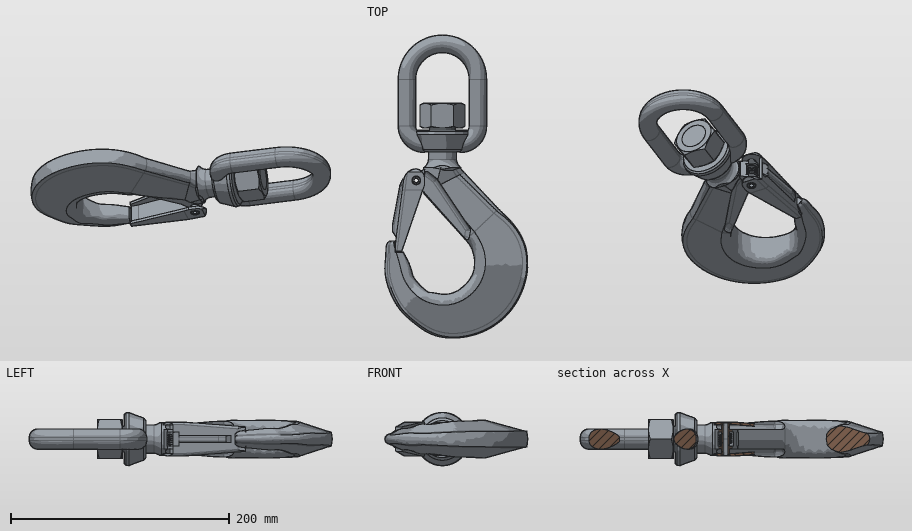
import cadquery as cq
import math


THROAT_RADIUS = 29.5
ARM_ANGLE = 43.5
ARM_OUTER_REACH = 71.0
SHOULDER_CENTRE = (26.7, 0.0)
SHOULDER_RADIUS = 51.7
BACK_CENTRE = (9.35, -0.8)
BACK_RADIUS = 68.95
FRONT_CENTRE = (13.5, -3.0)
FRONT_RADIUS = 66.4
RIM_LAND_SHARE = 0.08
RIM_EDGE_DROP = 0.8

TIP_BASE_Y = -1.5
TIP_TOP_Y = 19.5
TIP_RECESS_FLOOR_Y = 9.3
TIP_RECESS_WIDTH = 13.0
TIP_RECESS_X = -43.4

NOSE_X = -17.5
NOSE_LOW_Y = 63.2
SHOULDER_X = 15.9
SHOULDER_Y = 86.8
SHOULDER_HALF_THICK = 15.0
ARM_UPPER_OUTER = (20.0, 82.3)
FLARE_TOP_Y = 94.0
FLARE_RADIUS = 16.9
FLARE_UNDER_Y = 84.0
FLARE_SAG = 1.0
NECK_DIA = 26.0
SHANK_DIA = 24.0
POCKET_HALF_FLOOR = 9.0
POCKET_CORNER_RADIUS = 1.0
POCKET_FLOOR_FILLET = 4.5
POCKET_WALL = [(NOSE_X, SHOULDER_Y - 0.5), (-5.0, 76.5), (26.0, 30.0), (24.5, 22.0)]
POCKET_OPEN_SIDE = [(15.0, 10.0), (-50.0, 65.0), (-35.0, 95.0)]

PIVOT = (-24.0, 75.0)
PIN_DIA = 8.0
PIN_BORE = 4.0
PIN_HALF_LENGTH = 15.2
PIN_CHAMFER = 0.6
LUG_RADIUS = 6.3
SLOT_HALF_WIDTH = 6.5
SLOT_RADIUS = 7.2
SPRING_WIRE = 1.6
SPRING_MEAN_RADIUS = 5.1
SPRING_PITCH = 1.9
SPRING_TURNS = 5
LATCH_TIP_Y = 10.0
LATCH_BEND_Y = 76.5
LATCH_TAPER_Y = 66.0
LATCH_TOP_Y = 85.7
LATCH_BACK_TOP = (-35.4, LATCH_BEND_Y)
LATCH_BACK_TIP = (-43.2, 17.0)
LATCH_FRONT_TOP = (-16.5, 77.5)
LATCH_FRONT_LOW = (-16.5, 70.5)
LATCH_FRONT_TIP_X = -37.2
LATCH_TOP_ROUND = 3.0
LATCH_HALF_TOP = 15.6
LATCH_HALF_TIP = 11.2
LATCH_WALL = 2.6
WEB_EDGE_FILLET = 2.4
RIB_TOP_OUTER = (-39.0, 71.0)
RIB_TOP_INNER = (-35.2, 71.0)
RIB_HALF_WIDTH = 3.2
RIB_HEAD_HALF_WIDTH = 6.5
RIB_EDGE_FILLET = 1.5

COLLAR_RADIUS = 24.515
COLLAR_BOTTOM_Y = 101.2
COLLAR_TOP_Y = 121.2
WIRE_WIDTH = 16.3
WIRE_DEPTH = 18.8
EYE_HALF_SPAN = 32.55
EYE_STRAIGHT_LOW_Y = 124.9
EYE_STRAIGHT_HIGH_Y = 167.7
EYE_BEND_RADIUS = 16.3

NUT_BOTTOM_Y = 122.9
NUT_TOP_Y = 145.9
NUT_ACROSS_FLATS = 36.0
NUT_CHAMFER_RADIUS = 17.6
NUT_CHAMFER_HEIGHT = 1.8


def polar(radius, degrees):
    angle = math.radians(degrees)
    return (radius * math.cos(angle), radius * math.sin(angle))


def ray_to_circle(degrees, centre, radius):
    """Point where a ray from the origin leaves a circle that surrounds the origin."""
    ux, uy = polar(1.0, degrees)
    along = centre[0] * ux + centre[1] * uy
    across = centre[0] * uy - centre[1] * ux
    return polar(along + math.sqrt(radius ** 2 - across ** 2), degrees)


def hook_section(inner, outer, crest, half_thick, rim_half, rim_bulge):
    """Closed section standing on the line from inner to outer: round inside, thin rim outside.

    crest is the distance from the inner edge to the thickest place.
    """
    width = math.dist(inner, outer)
    direction = cq.Vector(outer[0] - inner[0], outer[1] - inner[1], 0)
    plane = cq.Plane(
        origin=(inner[0], inner[1], 0),
        xDir=direction,
        normal=direction.cross(cq.Vector(0, 0, 1)),
    )
    rim = width - rim_bulge
    land = RIM_LAND_SHARE * width
    return (
        cq.Workplane(plane)
        .moveTo(crest, -half_thick)
        .lineTo(rim - land, -rim_half)
        .lineTo(rim, -rim_half + RIM_EDGE_DROP)
        .threePointArc((width, 0), (rim, rim_half - RIM_EDGE_DROP))
        .lineTo(rim - land, rim_half)
        .lineTo(crest, half_thick)
        .spline([(0, 0), (crest, -half_thick)], tangents=[(-1, 0), (1, 0)], includeCurrent=True)
        .close()
        .val()
    )


def revolve_about_shank(points):
    """Solid of revolution about the Y axis from (radius, y) points."""
    return cq.Workplane("XY").polyline(points).close().revolve(360, (0, 0, 0), (0, 1, 0))


def extrude_both(outline, half_height):
    return outline.extrude(half_height, both=True)


def bowl_solid(arm_start):
    """Curved part of the hook, from the arm round to the tip."""

    def at(degrees, centre, radius, *shape):
        return hook_section(
            polar(THROAT_RADIUS, degrees), ray_to_circle(degrees, centre, radius), *shape
        )

    def across(inner_x, outer_x, y, *shape):
        return hook_section((inner_x, y), (outer_x, y), *shape)

    sections = [
        arm_start,
        at(22, SHOULDER_CENTRE, SHOULDER_RADIUS, 10, 17.2, 8, 1),
        at(0, SHOULDER_CENTRE, SHOULDER_RADIUS, 10, 17.3, 8, 1),
        at(-30, BACK_CENTRE, BACK_RADIUS, 10, 17.2, 8, 1),
        at(-60, BACK_CENTRE, BACK_RADIUS, 10, 16.6, 7.8, 1),
        at(-85, BACK_CENTRE, BACK_RADIUS, 10, 15.5, 7, 1.2),
        at(-110, FRONT_CENTRE, FRONT_RADIUS, 9.5, 13.5, 6, 1.8),
        at(-135, FRONT_CENTRE, FRONT_RADIUS, 9, 11.2, 5.2, 2),
        at(-158, FRONT_CENTRE, FRONT_RADIUS, 9, 9.8, 4.8, 2.2),
        across(-30.3, -52.75, TIP_BASE_Y, 9, 9, 4.5, 2.4),
        across(-35.2, -52.0, TIP_RECESS_FLOOR_Y - 1, 7, 8, 4, 2.4),
        across(-39.5, -51.1, TIP_TOP_Y - 3, 5, 6.8, 3.5, 2),
        across(-40.5, -48.5, TIP_TOP_Y, 3.5, 4.5, 2.5, 1.5),
    ]
    return cq.Workplane(cq.Solid.makeLoft(sections, False))


def arm_solid(arm_start):
    """Straight arm that runs from the bowl up to the shank."""
    sections = [
        arm_start,
        hook_section((NOSE_X, NOSE_LOW_Y), ARM_UPPER_OUTER, 13, 15.4, 7, 4.5),
        hook_section((NOSE_X, SHOULDER_Y), (SHOULDER_X, SHOULDER_Y), 16, SHOULDER_HALF_THICK, 10, 5),
    ]
    return cq.Workplane(cq.Solid.makeLoft(sections, True))


def make_hook():
    arm_start = hook_section(
        polar(THROAT_RADIUS, ARM_ANGLE), polar(ARM_OUTER_REACH, ARM_ANGLE), 11, 16.6, 7.5, 2.5
    )
    hook = bowl_solid(arm_start).union(arm_solid(arm_start))

    neck_radius = NECK_DIA / 2
    flare = (
        cq.Workplane("XY")
        .moveTo(0, FLARE_UNDER_Y)
        .lineTo(neck_radius, FLARE_UNDER_Y)
        .lineTo(FLARE_RADIUS, SHOULDER_Y)
        .threePointArc((neck_radius + FLARE_SAG, (SHOULDER_Y + FLARE_TOP_Y) / 2), (neck_radius, FLARE_TOP_Y))
        .lineTo(neck_radius, COLLAR_BOTTOM_Y)
        .lineTo(SHANK_DIA / 2, COLLAR_BOTTOM_Y)
        .lineTo(SHANK_DIA / 2, NUT_TOP_Y)
        .lineTo(0, NUT_TOP_Y)
        .close()
        .revolve(360, (0, 0, 0), (0, 1, 0))
    )
    flare_slab = cq.Workplane("XZ").rect(2 * COLLAR_RADIUS, 2 * SHOULDER_HALF_THICK).extrude(-NUT_TOP_Y)
    hook = hook.union(flare.intersect(flare_slab))

    lug = (
        cq.Workplane("XY")
        .moveTo(PIVOT[0], PIVOT[1] + LUG_RADIUS)
        .threePointArc((PIVOT[0] - LUG_RADIUS, PIVOT[1]), (PIVOT[0], PIVOT[1] - LUG_RADIUS))
        .lineTo(NOSE_X + 0.5, NOSE_LOW_Y + 1)
        .lineTo(NOSE_X + LUG_RADIUS, NOSE_LOW_Y + 1)
        .lineTo(NOSE_X + LUG_RADIUS, SHOULDER_Y - 2)
        .lineTo(NOSE_X, SHOULDER_Y - 2)
        .close()
    )
    hook = hook.union(extrude_both(lug, POCKET_HALF_FLOOR))

    for side in (1, -1):
        pocket = (
            cq.Workplane("XY", origin=(0, 0, side * POCKET_HALF_FLOOR))
            .polyline(POCKET_WALL + POCKET_OPEN_SIDE)
            .close()
            .extrude(side * COLLAR_RADIUS)
            .edges("|Z")
            .fillet(POCKET_CORNER_RADIUS)
        )
        floor = "<Z" if side > 0 else ">Z"
        pocket = pocket.faces(floor).edges().fillet(POCKET_FLOOR_FILLET)
        hook = hook.cut(pocket)

    pin_hole = extrude_both(cq.Workplane("XY").center(*PIVOT).circle(PIN_DIA / 2), COLLAR_RADIUS)
    slot = extrude_both(cq.Workplane("XY").center(*PIVOT).circle(SLOT_RADIUS), SLOT_HALF_WIDTH)
    hook = hook.cut(pin_hole).cut(slot)

    recess_height = TIP_TOP_Y + 1 - TIP_RECESS_FLOOR_Y
    recess = (
        cq.Workplane("XY", origin=(TIP_RECESS_X, TIP_RECESS_FLOOR_Y, 0))
        .rect(TIP_RECESS_WIDTH, recess_height, centered=False)
    )
    return hook.cut(extrude_both(recess, COLLAR_RADIUS))


def latch_taper(inset, top_round):
    """Wedge, wide at the pivot and narrow at the tip, that bounds the latch in Z."""
    half_top = LATCH_HALF_TOP - inset
    half_tip = LATCH_HALF_TIP - inset
    right = [
        (LATCH_TIP_Y - 1, half_tip),
        (LATCH_TAPER_Y, half_top),
        (LATCH_TOP_Y - top_round, half_top),
        (LATCH_TOP_Y + 1, half_top - top_round),
    ]
    left = [(y, -z) for y, z in reversed(right)]
    return cq.Workplane("YZ", origin=(-60, 0, 0)).polyline(right + left).close().extrude(60)


def make_latch():
    outline = (
        cq.Workplane("XY")
        .moveTo(LATCH_FRONT_TIP_X, LATCH_TIP_Y)
        .lineTo(*LATCH_FRONT_LOW)
        .lineTo(*LATCH_FRONT_TOP)
        .threePointArc((-18.8, 83.0), (PIVOT[0], LATCH_TOP_Y))
        .threePointArc((-31.7, 82.6), LATCH_BACK_TOP)
        .lineTo(*LATCH_BACK_TIP)
        .lineTo(LATCH_BACK_TIP[0], LATCH_TIP_Y)
        .close()
    )
    latch = extrude_both(outline, LATCH_HALF_TOP).intersect(latch_taper(0, LATCH_TOP_ROUND))
    back_line = cq.selectors.BoxSelector((-45, 15, -COLLAR_RADIUS), (-34, 75, COLLAR_RADIUS))
    latch = latch.edges(back_line).edges("not |Z").fillet(WEB_EDGE_FILLET)

    hollow = (
        cq.Workplane("XY")
        .moveTo(LATCH_BACK_TIP[0] + LATCH_WALL, 0)
        .lineTo(LATCH_BACK_TIP[0] + LATCH_WALL, LATCH_BACK_TIP[1])
        .lineTo(LATCH_BACK_TOP[0] + LATCH_WALL, LATCH_BACK_TOP[1])
        .lineTo(LATCH_BACK_TOP[0] - LATCH_WALL, LATCH_BACK_TOP[1])
        .lineTo(LATCH_BACK_TOP[0] - LATCH_WALL, LATCH_TOP_Y + 1)
        .lineTo(0, LATCH_TOP_Y + 1)
        .lineTo(0, 0)
        .close()
    )
    latch = latch.cut(extrude_both(hollow, LATCH_HALF_TOP).intersect(latch_taper(LATCH_WALL, 0)))
    return latch.union(latch_rib()).cut(
        extrude_both(cq.Workplane("XY").center(*PIVOT).circle(PIN_DIA / 2), LATCH_HALF_TOP + 1)
    )


def latch_rib():
    """Thumb rib down the back of the latch with a wider head below the pivot."""
    head_outline = [(-34.5, 74), (-36.3, LATCH_BEND_Y), RIB_TOP_OUTER, RIB_TOP_INNER]
    head = extrude_both(cq.Workplane("XY").polyline(head_outline).close(), RIB_HEAD_HALF_WIDTH)
    rib_outline = [RIB_TOP_INNER, RIB_TOP_OUTER, (-45.8, 34.7), (-45.8, 28), (-42.0, 22.5)]
    rib = extrude_both(cq.Workplane("XY").polyline(rib_outline).close(), RIB_HALF_WIDTH)
    back_line = cq.selectors.BoxSelector((-46, 29, -9), (-39.2, 60, 9))
    rib = rib.edges(back_line).edges("not |Z").fillet(RIB_EDGE_FILLET)
    return rib.union(head)


def make_pin():
    pin = extrude_both(cq.Workplane("XY").center(*PIVOT).circle(PIN_DIA / 2), PIN_HALF_LENGTH)
    pin = pin.faces("|Z").edges().chamfer(PIN_CHAMFER)
    return pin.cut(extrude_both(cq.Workplane("XY").center(*PIVOT).circle(PIN_BORE / 2), LATCH_HALF_TOP))


def make_spring():
    """Coil of the latch spring around the pin."""
    height = SPRING_PITCH * SPRING_TURNS
    helix = cq.Wire.makeHelix(SPRING_PITCH, height, SPRING_MEAN_RADIUS)
    coil = (
        cq.Workplane("XZ", origin=(SPRING_MEAN_RADIUS, 0, 0))
        .circle(SPRING_WIRE / 2)
        .sweep(cq.Workplane(helix), isFrenet=True)
    )
    return coil.translate((PIVOT[0], PIVOT[1], -height / 2))


def make_eye():
    """Swivel eye: a loop of oval wire growing out of a conical collar."""
    inner_x = EYE_HALF_SPAN - EYE_BEND_RADIUS
    low_y = EYE_STRAIGHT_LOW_Y - EYE_BEND_RADIUS
    mid = EYE_BEND_RADIUS * math.sqrt(0.5)
    path = (
        cq.Workplane("XY")
        .moveTo(-inner_x, low_y)
        .threePointArc((-inner_x - mid, EYE_STRAIGHT_LOW_Y - mid), (-EYE_HALF_SPAN, EYE_STRAIGHT_LOW_Y))
        .lineTo(-EYE_HALF_SPAN, EYE_STRAIGHT_HIGH_Y)
        .threePointArc((0, EYE_STRAIGHT_HIGH_Y + EYE_HALF_SPAN), (EYE_HALF_SPAN, EYE_STRAIGHT_HIGH_Y))
        .lineTo(EYE_HALF_SPAN, EYE_STRAIGHT_LOW_Y)
        .threePointArc((inner_x + mid, EYE_STRAIGHT_LOW_Y - mid), (inner_x, low_y))
    )
    wire = (
        cq.Workplane("YZ", origin=(-inner_x, low_y, 0))
        .slot2D(WIRE_DEPTH, WIRE_WIDTH, 90)
        .sweep(path)
    )
    collar = revolve_about_shank([
        (0, COLLAR_BOTTOM_Y),
        (17.0, COLLAR_BOTTOM_Y),
        (19.5, COLLAR_BOTTOM_Y + 2.2),
        (COLLAR_RADIUS, COLLAR_TOP_Y - 4.2),
        (COLLAR_RADIUS - 0.4, COLLAR_TOP_Y - 1.5),
        (COLLAR_RADIUS - 2, COLLAR_TOP_Y),
        (0, COLLAR_TOP_Y),
    ])
    bore = cq.Workplane("XZ").circle(SHANK_DIA / 2).extrude(-NUT_TOP_Y)
    return wire.union(collar).cut(bore)


def make_nut():
    corner_radius = NUT_ACROSS_FLATS / math.sqrt(3)
    height = NUT_TOP_Y - NUT_BOTTOM_Y
    nut = cq.Workplane("XZ", origin=(0, NUT_BOTTOM_Y, 0)).polygon(6, 2 * corner_radius).extrude(-height)
    envelope = revolve_about_shank([
        (0, NUT_BOTTOM_Y),
        (NUT_CHAMFER_RADIUS, NUT_BOTTOM_Y),
        (corner_radius, NUT_BOTTOM_Y + NUT_CHAMFER_HEIGHT),
        (corner_radius, NUT_TOP_Y - NUT_CHAMFER_HEIGHT),
        (NUT_CHAMFER_RADIUS, NUT_TOP_Y),
        (0, NUT_TOP_Y),
    ])
    bore = cq.Workplane("XZ").circle(SHANK_DIA / 2).extrude(-NUT_TOP_Y)
    return nut.intersect(envelope).cut(bore)


hook = make_hook()
latch = make_latch()
pin = make_pin()
spring = make_spring()
eye = make_eye()
nut = make_nut()

result = cq.Compound.makeCompound(
    [body.solids().val() for body in (hook, latch, pin, spring, eye, nut)]
)